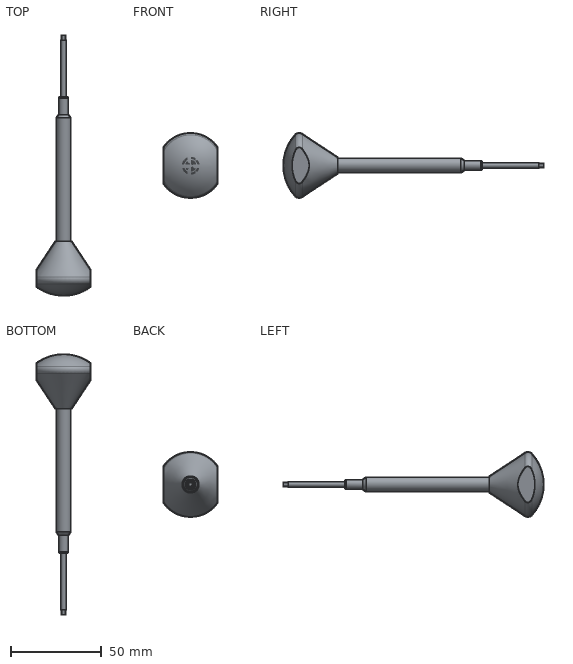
import cadquery as cq
import math

total_length = 144.0

neck_y = 30.1
grip_end_y = 100.0
collar_end_y = 110.0
shaft_end_y = 141.3

grip_radius = 4.0
collar_radius = 2.7
shaft_radius = 1.6
tip_radius = 1.2
neck_radius = 4.6

grip_chamfer_length = 1.7
grip_chamfer_depth = 1.2
collar_chamfer_length = 0.9
collar_chamfer_depth = 0.6

head_radius = 18.0
head_width = 30.0
dome_radius = 25.0
rim_radius = 3.0


def head_profile_points():
    """Return the dome, rim and cone points as (radius, y), with arcs tangent to each other."""
    rim_x = head_radius - rim_radius
    center_gap = dome_radius - rim_radius
    rim_y = dome_radius - math.sqrt(center_gap**2 - rim_x**2)

    growth = dome_radius / center_gap
    dome_end = (rim_x * growth, dome_radius + (rim_y - dome_radius) * growth)
    half_angle = math.asin(dome_end[0] / dome_radius) / 2
    dome_middle = (dome_radius * math.sin(half_angle), dome_radius * (1 - math.cos(half_angle)))
    rim_middle = (head_radius, rim_y)

    to_neck_x = neck_radius - rim_x
    to_neck_y = neck_y - rim_y
    neck_distance = math.hypot(to_neck_x, to_neck_y)
    tangent_angle = math.atan2(to_neck_y, to_neck_x) - math.acos(rim_radius / neck_distance)
    rim_end = (
        rim_x + rim_radius * math.cos(tangent_angle),
        rim_y + rim_radius * math.sin(tangent_angle),
    )
    return dome_middle, dome_end, rim_middle, rim_end


def make_head():
    """Domed cone with two parallel flats."""
    dome_middle, dome_end, rim_middle, rim_end = head_profile_points()
    head = (
        cq.Workplane("XY")
        .threePointArc(dome_middle, dome_end)
        .threePointArc(rim_middle, rim_end)
        .lineTo(neck_radius, neck_y)
        .lineTo(0, neck_y)
        .close()
        .revolve(360, (0, 0, 0), (0, 1, 0))
    )
    between_flats = cq.Workplane("XY").box(head_width, 2 * total_length, 2 * head_radius)
    return head.intersect(between_flats)


def make_stem():
    """Grip, collar, shaft and tip, turned in one piece from the neck outward."""
    return (
        cq.Workplane("XY")
        .moveTo(0, neck_y)
        .lineTo(grip_radius, neck_y)
        .lineTo(grip_radius, grip_end_y - grip_chamfer_length)
        .lineTo(grip_radius - grip_chamfer_depth, grip_end_y)
        .lineTo(collar_radius, grip_end_y)
        .lineTo(collar_radius, collar_end_y - collar_chamfer_length)
        .lineTo(collar_radius - collar_chamfer_depth, collar_end_y)
        .lineTo(shaft_radius, collar_end_y)
        .lineTo(shaft_radius, shaft_end_y)
        .lineTo(tip_radius, shaft_end_y)
        .lineTo(tip_radius, total_length)
        .lineTo(0, total_length)
        .close()
        .revolve(360, (0, 0, 0), (0, 1, 0))
    )


result = make_head().union(make_stem())